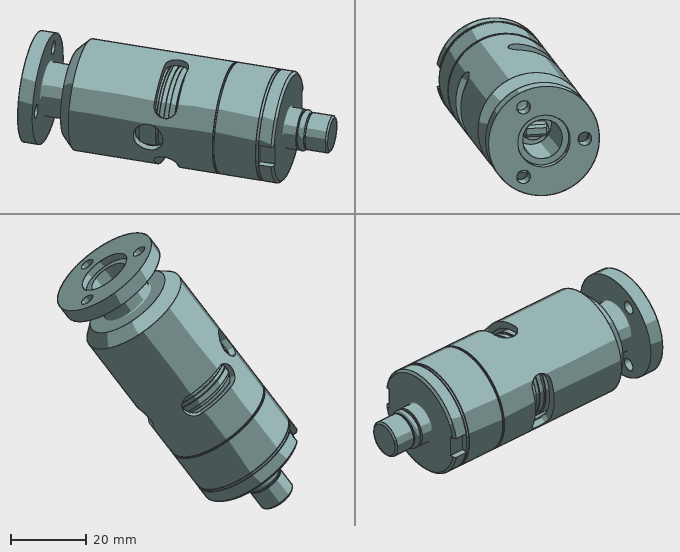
import cadquery as cq

total_length = 82.5
flange_thickness = 4.05
body_start = 11.0
body_chamfer = 3.05
seam_start = 53.7
seam_width = 0.4
cap_groove_start = 65.6
cap_start = 66.3
cap_end = 70.45
collar_end = 74.0
pin_start = 76.4

body_radius = 15.0
neck_radius = 7.3
root_fillet = 0.3
groove_depth = 0.25
cap_chamfer = 0.7
collar_radius = 5.5
pin_radius = 5.0
pin_groove_radius = 4.8
pin_chamfer = 0.5
o_ring_section_radius = 0.9
o_ring_station = 75.1

bolt_circle_radius = 11.05
bolt_hole_radius = 1.8
bolt_hole_count = 3
first_bolt_angle = 180.0
counterbore_radius = 7.1
counterbore_depth = 2.0
bore_radius = 5.4
bore_depth = 16.5

tang_radius = 3.5
tang_thickness = 3.2
tang_chamfer = 0.75
tang_stem_length = 2.5
tang_length = 6.6

chamber_start = 30.5
chamber_end = 43.2
chamber_radius = 13.0
core_radius = 12.0
core_groove_radius = 11.55
core_tail_radius = 11.05
core_land_start = 32.6
core_land_end = 42.1
core_grooves = [(37.1, 37.9), (39.2, 40.4)]

slot_center = 40.0
slot_width = 6.35
slot_half_angle = 23.4
slot_count = 3
window_angle = 180.0
window_center = 36.0
window_radius = 4.05
notch_width = 6.3
notch_floor_radius = chamber_radius
wall_cut_inner_radius = (chamber_radius + core_radius) / 2
cut_clearance = 1.65
cut_reach = body_radius + cut_clearance


def disc(start, end, radius):
    """Cylinder on the X axis between two stations."""
    return cq.Workplane("YZ", origin=(start, 0, 0)).circle(radius).extrude(end - start)


def ring(start, end, outer_radius, inner_radius):
    """Tube on the X axis between two stations."""
    return disc(start, end, outer_radius).cut(disc(start, end, inner_radius))


def turned_outside():
    """Solid of revolution: flange, neck, body, cap, collar and pin."""
    groove_radius = body_radius - groove_depth
    outline = (
        cq.Workplane("XY")
        .moveTo(0, 0)
        .lineTo(0, body_radius)
        .lineTo(flange_thickness, body_radius)
        .lineTo(flange_thickness, neck_radius + root_fillet)
        .radiusArc((flange_thickness + root_fillet, neck_radius), -root_fillet)
        .lineTo(body_start - root_fillet, neck_radius)
        .radiusArc((body_start, neck_radius + root_fillet), -root_fillet)
        .lineTo(body_start, body_radius - body_chamfer)
        .lineTo(body_start + body_chamfer, body_radius)
        .lineTo(seam_start, body_radius)
        .lineTo(seam_start, groove_radius)
        .lineTo(seam_start + seam_width, groove_radius)
        .lineTo(seam_start + seam_width, body_radius)
        .lineTo(cap_groove_start, body_radius)
        .lineTo(cap_groove_start, groove_radius)
        .lineTo(cap_start, groove_radius)
        .lineTo(cap_start, body_radius)
        .lineTo(cap_end - cap_chamfer, body_radius)
        .lineTo(cap_end, body_radius - cap_chamfer)
        .lineTo(cap_end, collar_radius + root_fillet)
        .radiusArc((cap_end + root_fillet, collar_radius), -root_fillet)
        .lineTo(collar_end, collar_radius)
        .lineTo(collar_end, pin_groove_radius)
        .lineTo(pin_start, pin_groove_radius)
        .lineTo(pin_start, pin_radius)
        .lineTo(total_length - pin_chamfer, pin_radius)
        .lineTo(total_length, pin_radius - pin_chamfer)
        .lineTo(total_length, 0)
    )
    return outline.close().revolve(360, (0, 0, 0), (1, 0, 0))


def o_ring():
    """Round-section ring seated in the groove behind the pin, level with the collar."""
    section = (
        cq.Workplane("XY")
        .moveTo(o_ring_station, collar_radius - o_ring_section_radius)
        .circle(o_ring_section_radius)
    )
    return section.revolve(360, (0, 0, 0), (1, 0, 0))


def flange_holes():
    """Holes around the flange, the first one on the -Y side."""
    return (
        cq.Workplane("YZ")
        .polarArray(bolt_circle_radius, first_bolt_angle, 360, bolt_hole_count)
        .circle(bolt_hole_radius)
        .extrude(flange_thickness)
    )


def tang():
    """Round stem ending in a flat tongue with chamfered tip, pointing to -X."""
    tip = bore_depth - tang_length
    stem = disc(bore_depth - tang_stem_length, bore_depth, tang_radius)
    tongue = disc(tip, bore_depth, tang_radius).faces("<X").chamfer(tang_chamfer)
    flats = (
        cq.Workplane("XY")
        .box(tang_length, 2 * bore_radius, tang_thickness)
        .translate((tip + tang_length / 2, 0, 0))
        .edges("<X and |Y")
        .chamfer(tang_chamfer)
    )
    return stem.union(tongue.intersect(flats))


def chamber():
    """Annular space left between the body wall and the ringed core."""
    space = ring(chamber_start, core_land_start, chamber_radius, core_groove_radius)
    space = space.union(ring(core_land_start, core_land_end, chamber_radius, core_radius))
    space = space.union(ring(core_land_end, chamber_end, chamber_radius, core_tail_radius))
    for start, end in core_grooves:
        space = space.union(ring(start, end, chamber_radius, core_groove_radius))
    return space


def wall_hole(center, radius, angle):
    """Round hole through the body wall, turned about X by an angle from +Y."""
    hole = (
        cq.Workplane("XZ", origin=(center, wall_cut_inner_radius, 0))
        .circle(radius)
        .extrude(wall_cut_inner_radius - cut_reach)
    )
    return hole.rotate((0, 0, 0), (1, 0, 0), angle)


def wall_slot(angle):
    """Slot that follows the wall around X, with round ends."""
    first_end = angle - slot_half_angle
    last_end = angle + slot_half_angle
    middle = (wall_cut_inner_radius + cut_reach) / 2
    slot = (
        cq.Workplane("XY")
        .moveTo(slot_center, middle)
        .rect(slot_width, cut_reach - wall_cut_inner_radius)
        .revolve(2 * slot_half_angle, (0, 0, 0), (1, 0, 0))
        .rotate((0, 0, 0), (1, 0, 0), first_end)
    )
    for end_angle in (first_end, last_end):
        slot = slot.union(wall_hole(slot_center, slot_width / 2, end_angle))
    return slot


def cap_notches():
    """Flat-bottomed notches across the cap on the +Y and -Y sides."""
    depth = cut_reach - notch_floor_radius
    middle = (notch_floor_radius + cut_reach) / 2
    return (
        cq.Workplane("XY", origin=((cap_start + cap_end) / 2, 0, 0))
        .pushPoints([(0, middle), (0, -middle)])
        .box(cap_end - cap_start, depth, notch_width)
    )


result = turned_outside().union(o_ring())
result = result.cut(flange_holes())
result = result.cut(disc(0, counterbore_depth, counterbore_radius))
result = result.cut(disc(0, bore_depth, bore_radius))
result = result.union(tang())
result = result.cut(chamber())
for index in range(slot_count):
    result = result.cut(wall_slot(index * 360 / slot_count))
result = result.cut(wall_hole(window_center, window_radius, window_angle))
result = result.cut(cap_notches())